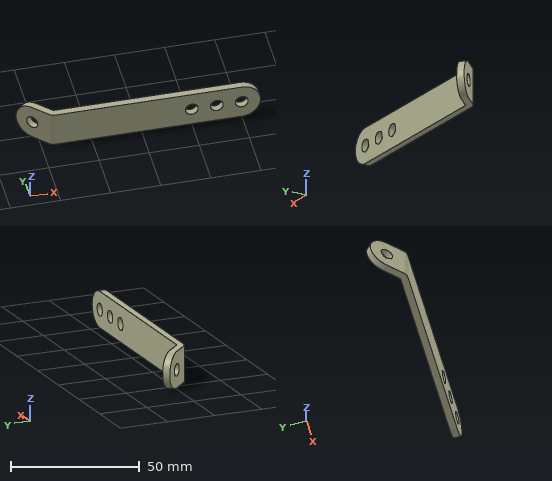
import cadquery as cq
import math

length = 95.0
width = 15.0
thickness = 3.0
rise = 13.9
bend_angle = 45.0
inner_bend_radius = 0.5
hole_diameter = 5.0
hole_pitch = 10.0
hole_count = 3

bend_sine = math.sin(math.radians(bend_angle))
bend_cosine = math.cos(math.radians(bend_angle))
outer_bend_radius = inner_bend_radius + thickness
setback = inner_bend_radius * math.tan(math.radians(bend_angle / 2))
end_radius = width / 2
corner_to_tab_end = (rise - thickness) / bend_sine
tab_length = corner_to_tab_end - setback
bend_x = corner_to_tab_end * bend_cosine + thickness * bend_sine + setback
arm_length = length - bend_x


def rounded_arm(reach, hole_places):
    """Flat strip from X = 0 to reach, Y from 0 down to -thickness, with a round far end."""
    end_center = reach - end_radius
    strip = (
        cq.Workplane("XZ")
        .moveTo(0, -end_radius)
        .lineTo(end_center, -end_radius)
        .threePointArc((reach, 0), (end_center, end_radius))
        .lineTo(0, end_radius)
        .close()
        .extrude(thickness)
    )
    holes = (
        cq.Workplane("XZ")
        .pushPoints([(x, 0) for x in hole_places])
        .circle(hole_diameter / 2)
        .extrude(thickness)
    )
    return strip.cut(holes)


def bend_point(radius, angle):
    """Point on the bend, at an angle in degrees measured from the end of the main arm."""
    turn = math.radians(angle)
    return (-radius * math.sin(turn), inner_bend_radius - radius * math.cos(turn))


def bend():
    """Ring sector joining the two arms, centred on the bend axis."""
    half_angle = bend_angle / 2
    return (
        cq.Workplane("XY", origin=(0, 0, -end_radius))
        .moveTo(*bend_point(inner_bend_radius, 0))
        .lineTo(*bend_point(outer_bend_radius, 0))
        .threePointArc(bend_point(outer_bend_radius, half_angle), bend_point(outer_bend_radius, bend_angle))
        .lineTo(*bend_point(inner_bend_radius, bend_angle))
        .threePointArc(bend_point(inner_bend_radius, half_angle), bend_point(inner_bend_radius, 0))
        .close()
        .extrude(width)
    )


last_hole = arm_length - end_radius
main_arm = rounded_arm(arm_length, [last_hole - i * hole_pitch for i in range(hole_count)])

tab = (
    rounded_arm(tab_length, [tab_length - end_radius])
    .mirror("YZ")
    .rotate((0, inner_bend_radius, 0), (0, inner_bend_radius, 1), -bend_angle)
)

result = main_arm.union(bend()).union(tab).translate((bend_x - length / 2, thickness, 0))